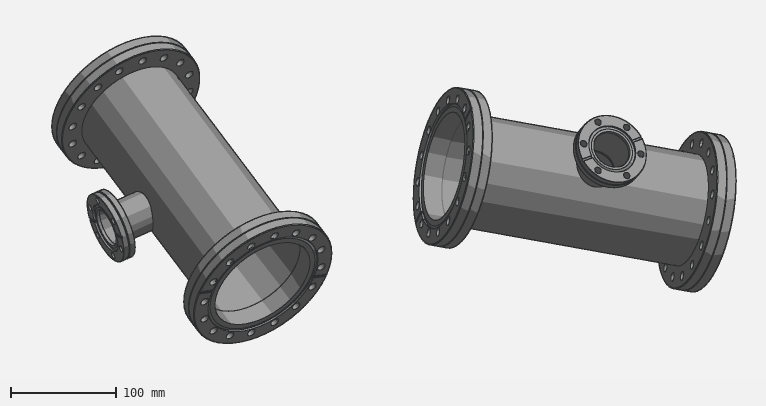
import cadquery as cq
OVERALL_LENGTH = 270.0
BRANCH_REACH = 94.8

MAIN_TUBE_DIAMETER = 108.0
MAIN_BORE_DIAMETER = 104.2
BRANCH_TUBE_DIAMETER = 40.0
BRANCH_BORE_DIAMETER = 37.0
BRANCH_SOCKET_DEPTH = 8.5

MAIN_BOLT_COUNT = 16
MAIN_BOLT_PITCH = 360 / MAIN_BOLT_COUNT
MAIN_FLANGE = {
    "diameter": 152.0,
    "thickness": 20.0,
    "bore": MAIN_BORE_DIAMETER,
    "recess_diameter": 120.7,
    "knife_diameter": 115.0,
    "rim_chamfer": 0.8,
    "rim_groove_width": 0.8,
    "bolt_circle": 130.5,
    "bolt_hole": 8.5,
    "bolt_count": MAIN_BOLT_COUNT,
    "bolt_start": MAIN_BOLT_PITCH / 2,
    "leak_groove_angle": MAIN_BOLT_PITCH,
}

BRANCH_BOLT_COUNT = 6
BRANCH_BOLT_PITCH = 360 / BRANCH_BOLT_COUNT
BRANCH_FLANGE = {
    "diameter": 70.0,
    "thickness": 12.7,
    "bore": BRANCH_BORE_DIAMETER,
    "recess_diameter": 48.0,
    "knife_diameter": 42.0,
    "rim_chamfer": 0.3,
    "rim_groove_width": 1.4,
    "bolt_circle": 58.9,
    "bolt_hole": 6.5,
    "bolt_count": BRANCH_BOLT_COUNT,
    "bolt_start": 0,
    "leak_groove_angle": BRANCH_BOLT_PITCH / 2,
}

RIM_GROOVE_DEPTH = 0.5
KNIFE_DEPTH = 1.0
RECESS_DEPTH = 2.2
LEAK_GROOVE_WIDTH = 2.2
LEAK_GROOVE_DEPTH = 1.0


def rod_along_x(diameter, length):
    """Cylinder on the X axis, centred on the origin."""
    return cq.Workplane("YZ").circle(diameter / 2).extrude(length / 2, both=True)


def rod_along_branch(diameter, length):
    """Cylinder from the origin toward -Y."""
    return cq.Workplane("XZ").circle(diameter / 2).extrude(length)


def flange_profile(size):
    """Half section in (radius, height): back face at height 0, sealing face on top."""
    rim = size["diameter"] / 2
    recess = size["recess_diameter"] / 2
    knife = size["knife_diameter"] / 2
    bore = size["bore"] / 2
    chamfer = size["rim_chamfer"]
    top = size["thickness"]
    middle = top / 2
    half_groove = size["rim_groove_width"] / 2
    return [
        (bore, 0),
        (rim - chamfer, 0),
        (rim, chamfer),
        (rim, middle - half_groove),
        (rim - RIM_GROOVE_DEPTH, middle),
        (rim, middle + half_groove),
        (rim, top - chamfer),
        (rim - chamfer, top),
        (recess, top),
        (recess, top - RECESS_DEPTH),
        (knife, top - KNIFE_DEPTH),
        (bore, top - KNIFE_DEPTH),
    ]


def make_flange(size):
    """Knife-edge flange standing on the XY plane, sealing face toward +Z."""
    disc = cq.Workplane("XZ").polyline(flange_profile(size)).close().revolve(360, (0, 0), (0, 1))

    bolt_holes = (
        cq.Workplane("XY")
        .polarArray(size["bolt_circle"] / 2, size["bolt_start"], 360, size["bolt_count"])
        .circle(size["bolt_hole"] / 2)
        .extrude(size["thickness"])
    )

    groove_start = (size["recess_diameter"] + size["knife_diameter"]) / 4
    groove_length = size["diameter"] / 2 - groove_start
    leak_grooves = (
        cq.Workplane("XY", origin=(0, 0, size["thickness"] - LEAK_GROOVE_DEPTH))
        .polarArray(groove_start + groove_length / 2, size["leak_groove_angle"], 360, 2)
        .rect(groove_length, LEAK_GROOVE_WIDTH)
        .extrude(LEAK_GROOVE_DEPTH)
    )
    return disc.cut(bolt_holes).cut(leak_grooves)


def make_left_flange():
    """Main flange at the -X end, local X axis turned to -Y and local Y axis to +Z."""
    back_face_x = MAIN_FLANGE["thickness"] - OVERALL_LENGTH / 2
    seat = cq.Plane(origin=(back_face_x, 0, 0), xDir=(0, -1, 0), normal=(-1, 0, 0))
    return cq.Workplane(make_flange(MAIN_FLANGE).val().moved(seat.location))


def make_right_flange():
    """Mirror image of the left flange at the +X end."""
    return make_left_flange().mirror("YZ")


def make_main_tube():
    """Main tube made in one piece with the left flange, opened on -Y for the branch."""
    tube_length = OVERALL_LENGTH - 2 * MAIN_FLANGE["thickness"]
    tube = (
        rod_along_x(MAIN_TUBE_DIAMETER, tube_length)
        .cut(rod_along_x(MAIN_BORE_DIAMETER, tube_length))
        .cut(rod_along_branch(BRANCH_BORE_DIAMETER, BRANCH_REACH))
    )
    return tube.union(make_left_flange(), clean=True)


def make_branch_tube():
    """Branch tube saddled on the main tube and ending in the socket of its flange."""
    end = BRANCH_REACH - BRANCH_FLANGE["thickness"] + BRANCH_SOCKET_DEPTH
    return (
        rod_along_branch(BRANCH_TUBE_DIAMETER, end)
        .cut(rod_along_branch(BRANCH_BORE_DIAMETER, end))
        .cut(rod_along_x(MAIN_TUBE_DIAMETER, OVERALL_LENGTH))
    )


def make_branch_flange():
    """Flange facing -Y, local X axis kept along X, with a socket for the tube in its back."""
    socket = cq.Workplane("XY").circle(BRANCH_TUBE_DIAMETER / 2).extrude(BRANCH_SOCKET_DEPTH)
    flange = make_flange(BRANCH_FLANGE).cut(socket)
    back_face_y = BRANCH_FLANGE["thickness"] - BRANCH_REACH
    seat = cq.Plane(origin=(0, back_face_y, 0), xDir=(1, 0, 0), normal=(0, -1, 0))
    return cq.Workplane(flange.val().moved(seat.location))


main_tube = make_main_tube()
right_flange = make_right_flange()
branch_tube = make_branch_tube()
branch_flange = make_branch_flange()

result = cq.Compound.makeCompound(
    [main_tube.val(), right_flange.val(), branch_tube.val(), branch_flange.val()]
)